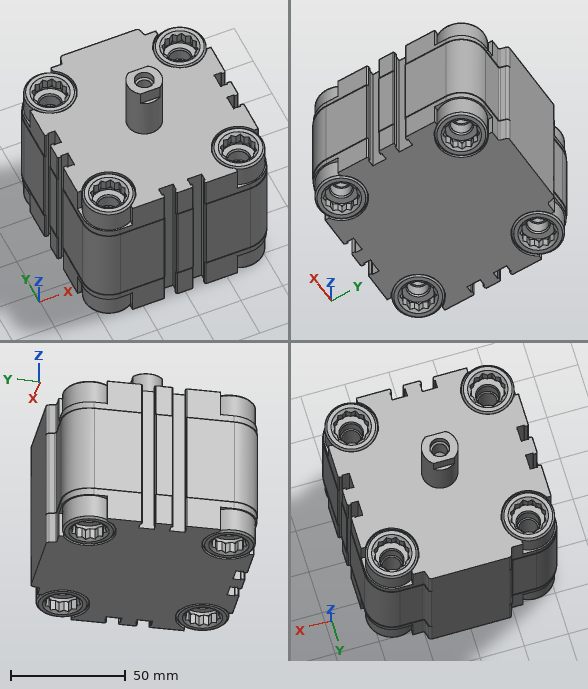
import cadquery as cq
import math


total_height = 97.5
housing_height = 70.0
cap_height = 14.6
barrel_height = housing_height - 2 * cap_height
barrel_half_width = 43.5
cap_inset = 0.3
cap_half_width = barrel_half_width - cap_inset
corner_offset = 31.0

ridge_top = 47.5
ridge_top_half_width = 18.9
ridge_flank_angle = 15.0
ridge_top_radius = 1.5
ridge_foot_radius = 0.8

slot_offset = 6.8
slot_mouth_width = 5.6
slot_inner_width = 6.8
slot_depth = 5.5
slot_lip_depth = 2.1
slot_edge_chamfer = 0.5

notch_edge = 25.1
notch_radius = 11.8
notch_depth = 11.4
sleeve_diameter = 23.0
sleeve_chamfer = 0.9

socket_depth = 5.7
socket_tip_radius = 7.9
socket_rim_diameter = 17.55
socket_rim_bevel = 1.95
socket_rim_angle = 35.0
socket_relief_diameter = 16.5
socket_floor_depth = 7.8

corner_hole_diameter = 8.3
thread_bore_diameter = 9.75
thread_mouth_diameter = 10.7
thread_mouth_depth = 0.9

rod_diameter = 16.0
rod_insertion = cap_height
rod_flats_width = 13.0
rod_flats_height = 6.5
rod_mouth_diameter = 8.6
rod_mouth_depth = 3.5
rod_bore_diameter = 6.6
rod_bore_depth = 13.65
drill_point_angle = 118.0

corners = [(x, y) for x in (-corner_offset, corner_offset) for y in (-corner_offset, corner_offset)]


def rounded_square(half_width, height):
    """Square block whose corner rounds are centred on the corner axes."""
    block = cq.Workplane("XY").rect(2 * half_width, 2 * half_width).extrude(height)
    return block.edges("|Z").fillet(half_width - corner_offset)


def ridge_edges(half_width, y, height):
    """Selector for the two upright ridge edges at X = -half_width and X = half_width."""
    margin = 0.1
    boxes = [
        cq.selectors.BoxSelector((x - margin, y - margin, 0), (x + margin, y + margin, height))
        for x in (-half_width, half_width)
    ]
    return boxes[0] + boxes[1]


def ridged_block(half_width, height, bottom):
    """One housing section: a rounded square with the ridge on its +Y side.

    The ridge flanks move in with the section's sides; the ridge top stays level.
    """
    top_half_width = ridge_top_half_width - (barrel_half_width - half_width)
    flank_spread = (ridge_top - half_width) * math.tan(math.radians(ridge_flank_angle))
    foot_half_width = top_half_width + flank_spread
    ridge = (
        cq.Workplane("XY")
        .polyline([
            (-foot_half_width, half_width),
            (-top_half_width, ridge_top),
            (top_half_width, ridge_top),
            (foot_half_width, half_width),
            (foot_half_width, 0),
            (-foot_half_width, 0),
        ])
        .close()
        .extrude(height)
    )
    block = rounded_square(half_width, height).union(ridge)
    block = block.edges(ridge_edges(top_half_width, ridge_top, height)).fillet(ridge_top_radius)
    block = block.edges(ridge_edges(foot_half_width, half_width, height)).fillet(ridge_foot_radius)
    return block.translate((0, 0, bottom))


def slot_cutter(half_width, height, bottom):
    """T-shaped slot entering from the -Y side at X = 0, with a chamfered mouth."""
    mouth = slot_mouth_width / 2
    inner = slot_inner_width / 2
    face = -half_width
    floor = -barrel_half_width + slot_depth
    lip = -barrel_half_width + slot_lip_depth
    right_side = [
        (mouth + slot_edge_chamfer, face),
        (mouth, face + slot_edge_chamfer),
        (mouth, lip),
        (inner, lip),
        (inner, floor),
    ]
    left_side = [(-x, y) for x, y in reversed(right_side)]
    outline = cq.Workplane("XY").workplane(offset=bottom).polyline(right_side + left_side).close()
    return outline.extrude(height)


def housing_section(half_width, height, bottom):
    """Ridged block with two slots on each of the -Y, -X and +X sides."""
    section = ridged_block(half_width, height, bottom)
    slot = slot_cutter(half_width, height, bottom)
    for angle in (0, -90, 90):
        for x in (-slot_offset, slot_offset):
            section = section.cut(slot.translate((x, 0, 0)).rotate((0, 0, 0), (0, 0, 1), angle))
    return section


def corner_notch():
    """Space cleared around the sleeve of the +X +Y corner, down from the top face."""
    bottom = housing_height - notch_depth
    reach = 2 * barrel_half_width
    ring = (
        cq.Workplane("XY").workplane(offset=bottom)
        .center(corner_offset, corner_offset).circle(notch_radius).extrude(notch_depth)
    )
    square = (
        cq.Workplane("XY").workplane(offset=bottom)
        .center(notch_edge, notch_edge).rect(reach, reach, centered=False).extrude(notch_depth)
    )
    return ring.union(square)


def sleeve():
    """Plain sleeve with a chamfered rim, standing on the notch floor."""
    return (
        cq.Workplane("XY").workplane(offset=housing_height - notch_depth)
        .circle(sleeve_diameter / 2).extrude(notch_depth)
        .faces(">Z").chamfer(sleeve_chamfer)
    )


def socket_cutter():
    """Twelve-point socket, its relief and the stepped hole below it, down to mid height."""
    top = housing_height
    rim = socket_rim_diameter / 2
    relief = socket_relief_diameter / 2
    bore = thread_bore_diameter / 2
    hole = corner_hole_diameter / 2
    floor = top - socket_floor_depth
    rim_bottom = top - socket_rim_bevel * math.tan(math.radians(socket_rim_angle))
    rim_cone = (
        cq.Workplane("XZ")
        .polyline([(0, top), (rim, top), (rim - socket_rim_bevel, rim_bottom), (0, rim_bottom)])
        .close()
        .revolve(360, (0, 0), (0, 1))
    )
    stepped_hole = (
        cq.Workplane("XZ")
        .polyline([
            (0, top - socket_depth),
            (relief, top - socket_depth),
            (relief, floor),
            (thread_mouth_diameter / 2, floor),
            (bore, floor - thread_mouth_depth),
            (bore, top - cap_height),
            (hole, top - cap_height),
            (hole, housing_height / 2),
            (0, housing_height / 2),
        ])
        .close()
        .revolve(360, (0, 0), (0, 1))
    )
    cutter = rim_cone.union(stepped_hole)
    for angle in (0, 30):
        hexagon = (
            cq.Workplane("XY").workplane(offset=top - socket_depth)
            .polygon(6, 2 * socket_tip_radius).extrude(socket_depth)
            .rotate((0, 0, 0), (0, 0, 1), angle)
        )
        cutter = cutter.union(hexagon)
    return cutter


def both_ends(shape):
    """The shape at the top end and its mirror image at the bottom end."""
    return [shape, shape.mirror("XY", (0, 0, housing_height / 2))]


def make_housing():
    housing = housing_section(barrel_half_width, barrel_height, cap_height)
    for bottom in (0, housing_height - cap_height):
        housing = housing.union(housing_section(cap_half_width, cap_height, bottom))

    notch = corner_notch()
    for angle in (0, 90, 180, 270):
        for cutter in both_ends(notch.rotate((0, 0, 0), (0, 0, 1), angle)):
            housing = housing.cut(cutter)

    for x, y in corners:
        for end_sleeve in both_ends(sleeve().translate((x, y, 0))):
            housing = housing.union(end_sleeve)
        for cutter in both_ends(socket_cutter().translate((x, y, 0))):
            housing = housing.cut(cutter)

    rod_hole = (
        cq.Workplane("XY").workplane(offset=housing_height - rod_insertion)
        .circle(rod_diameter / 2).extrude(rod_insertion)
    )
    return housing.cut(rod_hole)


def make_rod():
    bottom = housing_height - rod_insertion
    flats_bottom = total_height - rod_flats_height
    rod = cq.Workplane("XY").workplane(offset=bottom).circle(rod_diameter / 2).extrude(total_height - bottom)

    flats_cutter = (
        cq.Workplane("XY").workplane(offset=flats_bottom)
        .rect(2 * rod_diameter, 2 * rod_diameter).rect(2 * rod_diameter, rod_flats_width)
        .extrude(rod_flats_height)
    )
    rod = rod.cut(flats_cutter)

    mouth = rod_mouth_diameter / 2
    bore = rod_bore_diameter / 2
    mouth_bottom = total_height - rod_mouth_depth
    bore_bottom = total_height - rod_bore_depth
    drill_slope = 1 / math.tan(math.radians(drill_point_angle / 2))
    bore_cutter = (
        cq.Workplane("XZ")
        .polyline([
            (0, total_height),
            (mouth, total_height),
            (mouth, mouth_bottom),
            (bore, mouth_bottom - (mouth - bore) * drill_slope),
            (bore, bore_bottom),
            (0, bore_bottom - bore * drill_slope),
        ])
        .close()
        .revolve(360, (0, 0), (0, 1))
    )
    return rod.cut(bore_cutter)


housing = make_housing()
rod = make_rod()
result = cq.Compound.makeCompound([housing.val(), rod.val()])